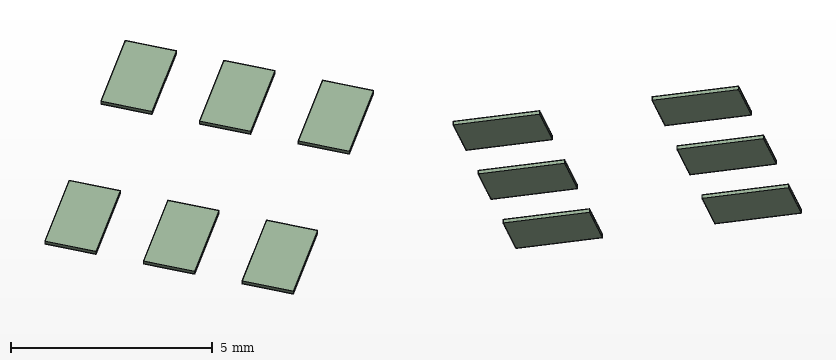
import cadquery as cq

array_length_x = 6.4
array_length_y = 7.29

pad_width = 1.32
pad_length = 2.21
pad_thickness = 0.1

column_count = 3
row_count = 2
column_pitch = (array_length_x - pad_width) / (column_count - 1)
row_pitch = (array_length_y - pad_length) / (row_count - 1)


def make_pad(center_x, center_y):
    """Flat rectangular pad with its underside on Z = 0."""
    return (
        cq.Workplane("XY")
        .center(center_x, center_y)
        .rect(pad_width, pad_length)
        .extrude(pad_thickness)
    )


pads = []
for row in range(row_count):
    for column in range(column_count):
        pad_x = (column - (column_count - 1) / 2) * column_pitch
        pad_y = (row - (row_count - 1) / 2) * row_pitch
        pads.append(make_pad(pad_x, pad_y))

result = cq.Compound.makeCompound([pad.val() for pad in pads])